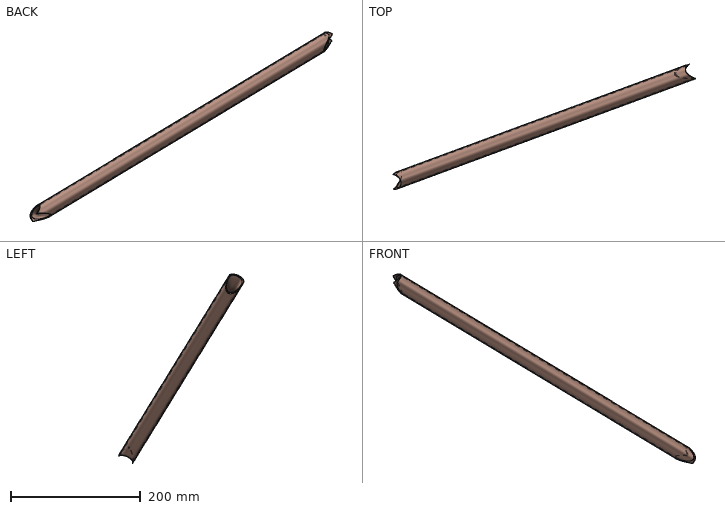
import cadquery as cq

TUBE_DIAMETER = 25.0
WALL = 1.5

START_JOINT = cq.Vector(-234.0, -84.72, 138.8)
END_JOINT = cq.Vector(232.36, 87.57, -141.53)

START_NEIGHBOURS = [
    (cq.Vector(-234.00, -84.59, 138.84), cq.Vector(0.0742, -0.3544, 0.9322)),
    (cq.Vector(-234.06, -84.72, 138.85), cq.Vector(-0.0738, -0.4683, 0.8805)),
]
END_NEIGHBOURS = [
    (cq.Vector(235.60, 86.55, -142.22), cq.Vector(-0.2376, 0.1893, 0.9527)),
    (cq.Vector(231.60, 87.33, -141.05), cq.Vector(0.9762, -0.0417, 0.2126)),
]

END_SETBACK = 1.0
NEIGHBOUR_LENGTH = 8 * TUBE_DIAMETER


def straight_tube():
    """Hollow tube along the line between the joints, with plain square ends."""
    along = (END_JOINT - START_JOINT).normalized()
    start = START_JOINT + along * END_SETBACK
    length = (END_JOINT - START_JOINT).Length - 2 * END_SETBACK
    outer_radius = TUBE_DIAMETER / 2
    outer = cq.Solid.makeCylinder(outer_radius, length, start, along)
    bore = cq.Solid.makeCylinder(outer_radius - WALL, length, start, along)
    return cq.Workplane(obj=outer).cut(cq.Workplane(obj=bore))


def neighbour(point, direction):
    """Solid envelope of a neighbouring tube, centred lengthwise on the given point."""
    base = point - direction.normalized() * (NEIGHBOUR_LENGTH / 2)
    envelope = cq.Solid.makeCylinder(TUBE_DIAMETER / 2, NEIGHBOUR_LENGTH, base, direction)
    return cq.Workplane(obj=envelope)


def mitre(tube, neighbours):
    """Cut the neighbours' envelopes out of one end of the tube."""
    for point, direction in neighbours:
        tube = tube.cut(neighbour(point, direction))
    return tube


result = mitre(mitre(straight_tube(), START_NEIGHBOURS), END_NEIGHBOURS)